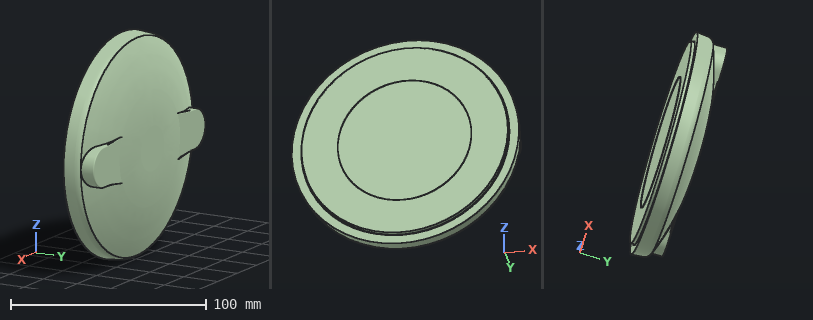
import cadquery as cq
import math

disc_radius = 59.5
rim_radius = 58.9
dome_radius = 57.5
crown_radius = 11.9
step_radius = 54.0
step_height = 1.8
rim_y = 8.0
dome_y = 10.8
crown_y = 20.0

groove_radius = 54.5
groove_depth = 0.6

recess_radius = 35.0
recess_depth = 0.2

bar_half_length = 57.4
bar_end_radius = 10.7
bar_flank_radius = 89.2
bar_root_x = 23.8
bar_back_y = 18.5
bar_edge_fillet = 0.6


def make_disc():
    dome_run = dome_radius - crown_radius
    dome_rise = crown_y - dome_y
    arc_radius = (dome_run**2 + dome_rise**2) / (2 * dome_rise)
    half_angle = math.asin(dome_run / arc_radius) / 2
    dome_mid = (
        crown_radius + arc_radius * math.sin(half_angle),
        crown_y - arc_radius * (1 - math.cos(half_angle)),
    )
    profile_plane = cq.Plane(origin=(0, 0, 0), xDir=(0, 0, 1), normal=(-1, 0, 0))
    return (
        cq.Workplane(profile_plane)
        .lineTo(step_radius, 0)
        .lineTo(step_radius, step_height)
        .lineTo(disc_radius, step_height)
        .lineTo(rim_radius, rim_y)
        .tangentArcPoint((dome_radius, dome_y), relative=False)
        .threePointArc(dome_mid, (crown_radius, crown_y))
        .lineTo(0, crown_y)
        .close()
        .revolve(360, (0, 0), (0, 1))
    )


def make_bar_half(side):
    end_center = bar_half_length - bar_end_radius
    sweep = math.asin((end_center - bar_root_x) / bar_flank_radius)
    root_z = bar_end_radius + bar_flank_radius * (1 - math.cos(sweep))
    mid_x = side * (end_center - bar_flank_radius * math.sin(sweep / 2))
    mid_z = bar_end_radius + bar_flank_radius * (1 - math.cos(sweep / 2))
    end_x = side * end_center
    root_x = side * bar_root_x
    return (
        cq.Workplane("XZ", origin=(0, bar_back_y, 0))
        .moveTo(root_x, root_z)
        .threePointArc((mid_x, mid_z), (end_x, bar_end_radius))
        .threePointArc((side * bar_half_length, 0), (end_x, -bar_end_radius))
        .threePointArc((mid_x, -mid_z), (root_x, -root_z))
        .close()
        .extrude(bar_back_y - rim_y)
        .faces(">Y")
        .edges("not |Z")
        .fillet(bar_edge_fillet)
    )


def make_groove():
    return (
        cq.Workplane("XZ", origin=(0, step_height, 0))
        .circle(groove_radius)
        .circle(step_radius)
        .extrude(-groove_depth)
    )


def make_recess():
    return cq.Workplane("XZ").circle(recess_radius).extrude(-recess_depth)


result = (
    make_disc()
    .union(make_bar_half(1))
    .union(make_bar_half(-1))
    .cut(make_groove())
    .cut(make_recess())
)